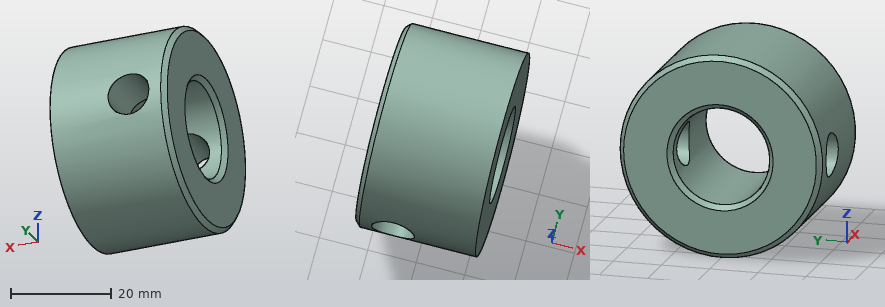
import cadquery as cq

outer_diameter = 42.0
length = 25.0
bore_diameter = 20.0
edge_chamfer = 1.0

cross_hole_diameter = 8.8
cross_hole_offset = 8.0


def make_collar():
    """Plain ring with its outer and bore edges chamfered at the X = 0 end."""
    ring = cq.Workplane("YZ").circle(outer_diameter / 2).circle(bore_diameter / 2).extrude(length)
    return ring.faces("<X").edges().chamfer(edge_chamfer)


def make_cross_hole():
    """Round cutter spanning the whole collar along Y."""
    return (
        cq.Workplane("XZ")
        .center(cross_hole_offset, 0)
        .circle(cross_hole_diameter / 2)
        .extrude(outer_diameter / 2, both=True)
    )


result = make_collar().cut(make_cross_hole())